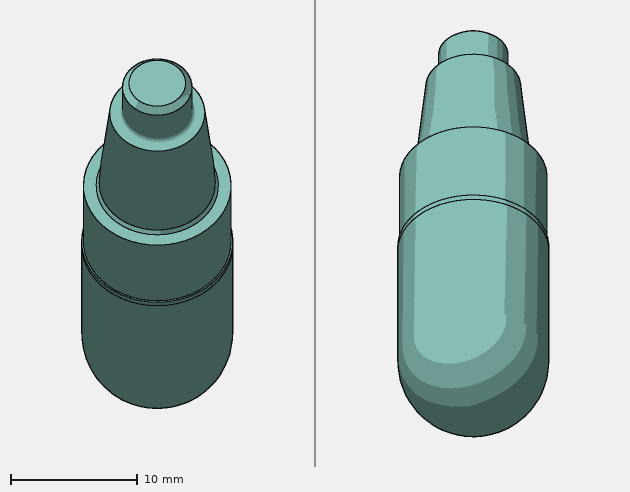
import cadquery as cq
import math

total_height = 39.7

cap_radius = 6.0
cap_height = 17.95

flange_height = 0.48
flange_top = cap_height + flange_height
collar_radius = 5.855
collar_top = 25.92
root_flare_height = 0.3
root_radius = 4.85
neck_bottom_radius = 4.6
neck_seam_radius = 4.5
neck_seam_height = 28.4
neck_top_radius = 3.77
neck_top = 35.73

pin_radius = 5.5 / 2
pin_fillet = 0.48
pin_chamfer = 0.5


def make_cap():
    """Solid cylinder with a hemispherical lower end and a flat rim."""
    arc_mid = cap_radius * math.sin(math.radians(45))
    return (
        cq.Workplane("XZ")
        .moveTo(0, 0)
        .threePointArc((arc_mid, cap_radius - arc_mid), (cap_radius, cap_radius))
        .lineTo(cap_radius, cap_height)
        .lineTo(0, cap_height)
        .close()
        .revolve(360, (0, 0, 0), (0, 1, 0))
    )


def make_shaft():
    """Flange, collar, tapered neck and chamfered pin, seated on the rim of the cap."""
    return (
        cq.Workplane("XZ")
        .moveTo(0, cap_height)
        .lineTo(cap_radius, cap_height)
        .lineTo(cap_radius, flange_top)
        .lineTo(collar_radius, flange_top)
        .lineTo(collar_radius, collar_top)
        .lineTo(root_radius, collar_top)
        .lineTo(neck_bottom_radius, collar_top + root_flare_height)
        .lineTo(neck_seam_radius, neck_seam_height)
        .lineTo(neck_top_radius, neck_top)
        .lineTo(pin_radius + pin_fillet, neck_top)
        .radiusArc((pin_radius, neck_top + pin_fillet), pin_fillet)
        .lineTo(pin_radius, total_height - pin_chamfer)
        .lineTo(pin_radius - pin_chamfer, total_height)
        .lineTo(0, total_height)
        .close()
        .revolve(360, (0, 0, 0), (0, 1, 0))
    )


cap = make_cap()
shaft = make_shaft()
result = cq.Compound.makeCompound([cap.val(), shaft.val()])